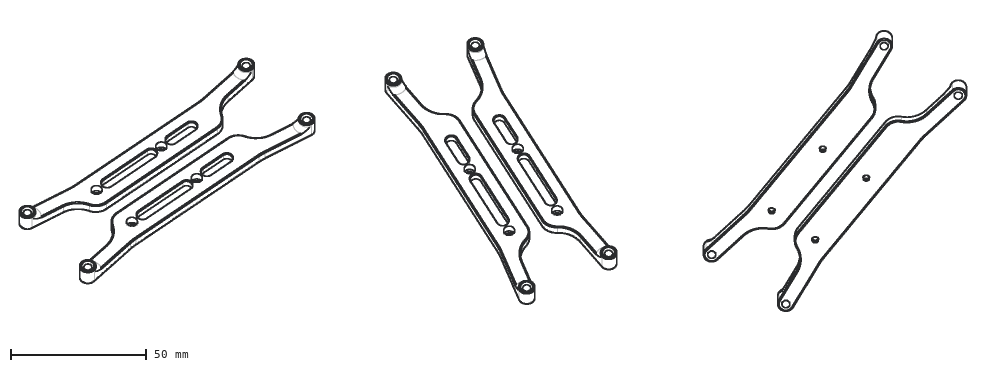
import cadquery as cq
import math


plate_height = 3.9
outer_edge_x = 17.0
inner_edge_x = 2.9
edge_chamfer_width = 0.51
edge_chamfer_height = 0.28

boss_diameter = 6.1
boss_height = 7.0
boss_x = 17.0
boss_y = 53.3
boss_hole_diameter = 2.9
boss_countersink_diameter = 4.5
boss_blend_radius = 2.0

arm_bend_y = 31.3
arm_bend_radius = 20.0
shoulder_start_y = 27.0
shoulder_radius = 6.0
neck_radius = 10.0

hole_line_x = (outer_edge_x + inner_edge_x) / 2
hole_positions_y = [5.9, -25.7]
hole_diameter = 2.4
counterbore_diameter = 4.0
counterbore_depth = 3.0
pocket_width = 4.7
pocket_depth = 3.0
pocket_chamfer_width = 0.29
pocket_chamfer_height = 0.51
pocket_spans_y = [(8.5, 22.9), (-22.9, 3.3)]

boss_radius = boss_diameter / 2


def rail_outline():
    """Closed outline of the right-hand rail, mirror-symmetric about the X axis."""
    rise = boss_y - arm_bend_y
    lean = boss_x - outer_edge_x
    corner_distance = math.hypot(rise, lean)
    tilt = math.asin(boss_radius / corner_distance) - math.atan2(lean, rise)
    along = (math.sin(tilt), math.cos(tilt))
    inward = (-math.cos(tilt), math.sin(tilt))

    def arm_point(distance_along, distance_inward):
        """Point measured from the boss centre, along and across the arm."""
        return (
            boss_x + distance_along * along[0] + distance_inward * inward[0],
            boss_y + distance_along * along[1] + distance_inward * inward[1],
        )

    bend_tangent = arm_bend_radius * math.tan(tilt / 2)
    bend_start = (outer_edge_x, arm_bend_y - bend_tangent)
    bend_end = (outer_edge_x + bend_tangent * along[0], arm_bend_y + bend_tangent * along[1])
    bend_centre_x = outer_edge_x + arm_bend_radius
    bend_middle = (
        bend_centre_x - arm_bend_radius * math.cos(tilt / 2),
        bend_start[1] + arm_bend_radius * math.sin(tilt / 2),
    )

    shoulder_centre = (inner_edge_x + shoulder_radius, shoulder_start_y)
    offset_x = shoulder_centre[0] - boss_x
    offset_y = shoulder_centre[1] - boss_y
    shoulder_along = offset_x * along[0] + offset_y * along[1]
    shoulder_inward = offset_x * inward[0] + offset_y * inward[1]
    neck_inward = boss_radius + neck_radius
    centre_distance = shoulder_radius + neck_radius
    neck_along = shoulder_along + math.sqrt(centre_distance**2 - (neck_inward - shoulder_inward) ** 2)
    neck_centre = arm_point(neck_along, neck_inward)
    neck_start = arm_point(neck_along, boss_radius)

    joint_angle = math.atan2(neck_centre[1] - shoulder_centre[1], neck_centre[0] - shoulder_centre[0])
    neck_start_angle = -tilt
    neck_end_angle = joint_angle - math.pi

    def on_circle(centre, radius, angle):
        """Point on a circle at an angle from the X axis."""
        return (centre[0] + radius * math.cos(angle), centre[1] + radius * math.sin(angle))

    neck_middle = on_circle(neck_centre, neck_radius, (neck_start_angle + neck_end_angle) / 2)
    joint = on_circle(shoulder_centre, shoulder_radius, joint_angle)
    shoulder_middle = on_circle(shoulder_centre, shoulder_radius, (joint_angle + math.pi) / 2)
    shoulder_start = (inner_edge_x, shoulder_start_y)

    def lower(point):
        """Matching point on the other arm."""
        return (point[0], -point[1])

    return (
        cq.Workplane("XY")
        .moveTo(*lower(bend_start))
        .lineTo(*bend_start)
        .threePointArc(bend_middle, bend_end)
        .lineTo(*arm_point(0, -boss_radius))
        .threePointArc(arm_point(boss_radius, 0), arm_point(0, boss_radius))
        .lineTo(*neck_start)
        .threePointArc(neck_middle, joint)
        .threePointArc(shoulder_middle, shoulder_start)
        .lineTo(*lower(shoulder_start))
        .threePointArc(lower(shoulder_middle), lower(joint))
        .threePointArc(lower(neck_middle), lower(neck_start))
        .lineTo(*lower(arm_point(0, boss_radius)))
        .threePointArc(lower(arm_point(boss_radius, 0)), lower(arm_point(0, -boss_radius)))
        .lineTo(*lower(bend_end))
        .threePointArc(lower(bend_middle), lower(bend_start))
        .close()
    )


def boss_blend(side):
    """Concave flare around a boss, cut off at the sides of the arm."""
    flare_radius = boss_radius + boss_blend_radius
    flare_top = plate_height + boss_blend_radius
    flare_bottom = plate_height - edge_chamfer_height
    inset = boss_blend_radius * (1 - math.sqrt(0.5))
    flare = (
        cq.Workplane("XZ")
        .moveTo(0, flare_bottom)
        .lineTo(flare_radius, flare_bottom)
        .lineTo(flare_radius, plate_height)
        .threePointArc((boss_radius + inset, plate_height + inset), (boss_radius, flare_top))
        .lineTo(0, flare_top)
        .close()
        .revolve(360, (0, 0, 0), (0, 1, 0))
        .translate((boss_x, side * boss_y, 0))
    )
    return flare.intersect(rail_outline().extrude(boss_height))


def boss(side):
    """Round boss at one arm end, before its hole is cut."""
    return (
        cq.Workplane("XY")
        .center(boss_x, side * boss_y)
        .circle(boss_radius)
        .extrude(boss_height)
        .faces("<Z or >Z")
        .chamfer(edge_chamfer_height, edge_chamfer_width)
    )


def boss_hole(side):
    """Through hole with a 45-degree countersink at its top."""
    hole = cq.Workplane("XY").circle(boss_hole_diameter / 2).extrude(boss_height)
    countersink_depth = (boss_countersink_diameter - boss_hole_diameter) / 2
    countersink = (
        cq.Workplane("XY", origin=(0, 0, boss_height))
        .circle(boss_countersink_diameter / 2)
        .extrude(-countersink_depth, taper=45)
    )
    return hole.union(countersink).translate((boss_x, side * boss_y, 0))


def mounting_holes():
    """Counterbored through holes in the strip."""
    points = [(hole_line_x, y) for y in hole_positions_y]
    counterbore_floor = plate_height - counterbore_depth
    holes = cq.Workplane("XY").pushPoints(points).circle(hole_diameter / 2).extrude(plate_height)
    counterbores = (
        cq.Workplane("XY", origin=(0, 0, counterbore_floor))
        .pushPoints(points)
        .circle(counterbore_diameter / 2)
        .extrude(counterbore_depth)
    )
    return holes.union(counterbores)


def pocket_rim(start_y, end_y):
    """Tapered ring that widens a pocket to its full size at the top face."""
    rim_taper = math.degrees(math.atan2(pocket_chamfer_width, pocket_chamfer_height))
    return (
        cq.Workplane("XY", origin=(0, 0, plate_height))
        .center(hole_line_x, (start_y + end_y) / 2)
        .slot2D(end_y - start_y, pocket_width, 90)
        .extrude(-pocket_chamfer_height, taper=rim_taper)
    )


def pocket(start_y, end_y):
    """Round-ended blind pocket in the top of the strip, with a chamfered rim."""
    return (
        cq.Workplane("XY", origin=(0, 0, plate_height - pocket_depth))
        .center(hole_line_x, (start_y + end_y) / 2)
        .slot2D(end_y - start_y - 2 * pocket_chamfer_width, pocket_width - 2 * pocket_chamfer_width, 90)
        .extrude(pocket_depth)
        .union(pocket_rim(start_y, end_y))
    )


def right_rail():
    """Complete right-hand rail."""
    rail = (
        rail_outline()
        .extrude(plate_height)
        .faces("<Z or >Z")
        .chamfer(edge_chamfer_height, edge_chamfer_width)
    )
    for side in (-1, 1):
        rail = rail.union(boss(side)).union(boss_blend(side))
    for side in (-1, 1):
        rail = rail.cut(boss_hole(side))
    rail = rail.cut(mounting_holes())
    for start_y, end_y in pocket_spans_y:
        rail = rail.cut(pocket(start_y, end_y))
    return rail


rail_right = right_rail()
rail_left = rail_right.mirror("YZ")

result = cq.Compound.makeCompound([rail_right.val(), rail_left.val()])